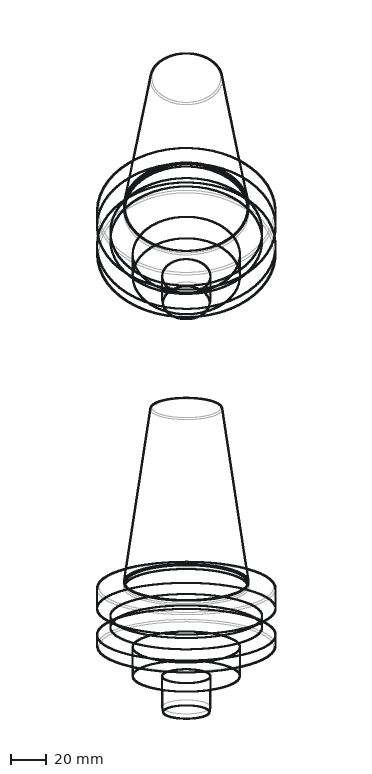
import cadquery as cq
import math


GAUGE_RADIUS = 69.85 / 2
TAPER_LENGTH = 101.8
TAPER_SLOPE = 3.5 / 24
TIP_FILLET = 1.0

NECK_LENGTH = 3.0
NECK_RELIEF = 0.6
NECK_FILLET = 0.8

FLANGE_RADIUS = 99.96 / 2
FLANGE_THICKNESS = 35.0
FLANGE_FILLET = 1.0
GROOVE_ROOT_RADIUS = 85.0 / 2
GROOVE_ROOT_WIDTH = 6.6
GROOVE_CENTRE_DEPTH = 23.2
GROOVE_FLANK_ANGLE = 30.0

SHOULDER_RADIUS = 60.0 / 2
SHOULDER_DEPTH = 55.0
PILOT_RADIUS = 27.0 / 2
PILOT_LENGTH = 21.0
PILOT_LEAD_WIDTH = 0.5
PILOT_LEAD_HEIGHT = 3.0


def turned_body():
    """Solid of revolution: shank, neck, flange, shoulder and pilot."""
    tip_radius = GAUGE_RADIUS - TAPER_LENGTH * TAPER_SLOPE
    neck_radius = GAUGE_RADIUS - NECK_RELIEF
    flange_top = -NECK_LENGTH
    flange_bottom = flange_top - FLANGE_THICKNESS
    pilot_bottom = -SHOULDER_DEPTH - PILOT_LENGTH

    profile = (
        cq.Workplane("XZ")
        .moveTo(0, TAPER_LENGTH)
        .lineTo(tip_radius, TAPER_LENGTH)
        .lineTo(GAUGE_RADIUS, 0)
        .lineTo(neck_radius, -NECK_RELIEF)
        .lineTo(neck_radius, flange_top + NECK_FILLET)
        .radiusArc((neck_radius + NECK_FILLET, flange_top), -NECK_FILLET)
        .lineTo(FLANGE_RADIUS - FLANGE_FILLET, flange_top)
        .radiusArc((FLANGE_RADIUS, flange_top - FLANGE_FILLET), FLANGE_FILLET)
        .lineTo(FLANGE_RADIUS, flange_bottom + FLANGE_FILLET)
        .radiusArc((FLANGE_RADIUS - FLANGE_FILLET, flange_bottom), FLANGE_FILLET)
        .lineTo(SHOULDER_RADIUS, flange_bottom)
        .lineTo(SHOULDER_RADIUS, -SHOULDER_DEPTH)
        .lineTo(PILOT_RADIUS, -SHOULDER_DEPTH)
        .lineTo(PILOT_RADIUS, pilot_bottom + PILOT_LEAD_HEIGHT)
        .lineTo(PILOT_RADIUS - PILOT_LEAD_WIDTH, pilot_bottom)
        .lineTo(0, pilot_bottom)
        .close()
    )
    body = profile.revolve(360, (0, 0, 0), (0, 1, 0))
    return body.faces(">Z").edges().fillet(TIP_FILLET)


def gripper_groove():
    """Ring with a trapezoid section that cuts the V groove into the flange."""
    flank_height = (FLANGE_RADIUS - GROOVE_ROOT_RADIUS) * math.tan(math.radians(GROOVE_FLANK_ANGLE))
    root_half = GROOVE_ROOT_WIDTH / 2
    mouth_half = root_half + flank_height

    section = (
        cq.Workplane("XZ")
        .moveTo(GROOVE_ROOT_RADIUS, -GROOVE_CENTRE_DEPTH + root_half)
        .lineTo(FLANGE_RADIUS, -GROOVE_CENTRE_DEPTH + mouth_half)
        .lineTo(FLANGE_RADIUS, -GROOVE_CENTRE_DEPTH - mouth_half)
        .lineTo(GROOVE_ROOT_RADIUS, -GROOVE_CENTRE_DEPTH - root_half)
        .close()
    )
    return section.revolve(360, (0, 0, 0), (0, 1, 0))


result = turned_body().cut(gripper_groove())